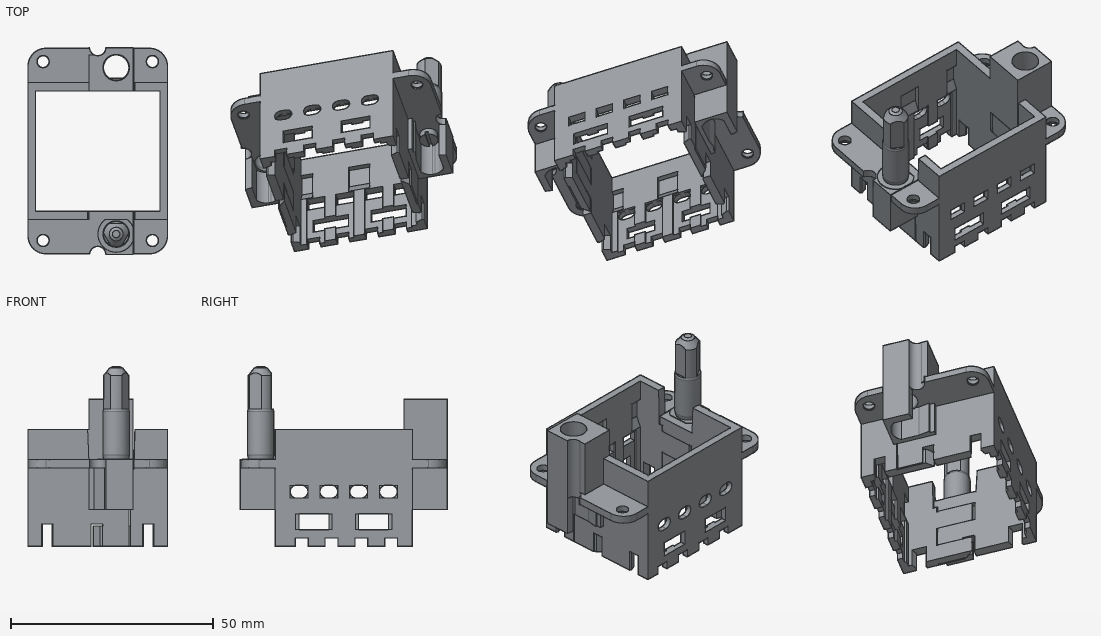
import cadquery as cq
import math

FRAME_X = 34.4
FRAME_Y = 33.75
FRAME_TOP = 28.85
SIDE_WALL = 1.9
END_WALL = 2.1
INNER_X = FRAME_X / 2 - SIDE_WALL
OUTER_Y = FRAME_Y / 2
INNER_Y = OUTER_Y - END_WALL

FLANGE_Y = 50.7
FLANGE_BOTTOM = 19.4
FLANGE_TOP = 21.4
FLANGE_CORNER_R = 4.5
MOUNT_HOLE_R = 1.55
MOUNT_HOLE_LIP_R = 1.45
MOUNT_HOLE_LIP = 0.5
MOUNT_HOLE_X = 13.45
MOUNT_HOLE_Y = 22.05

BLOCK_END_Y = 25.5
BLOCK_BOTTOM = 9.1
BLOCK_LEFT = -2.2
BLOCK_RIGHT = 8.7
POST_TOP = 36.3
POST_SHOULDER_Y = 23.6
BORE_X = 4.55
BORE_Y = 20.55
BORE_R = 3.25
BORE_END_R = 3.1
BORE_TAPER = 0.95
NOTCH_R = 2.0

CAVITY_R = 3.45
CAVITY_BACK_Y = 17.95
CAVITY_FRONT_Y = 23.75
CAVITY_Y = (CAVITY_BACK_Y + CAVITY_FRONT_Y) / 2
CAVITY_SIDE_FLAT = 0.55
CAVITY_RIGHT = BORE_X + math.sqrt(CAVITY_R**2 - (CAVITY_SIDE_FLAT / 2) ** 2)

LOWER_SEAM_LEFT = 7.75
LOWER_SEAM_RIGHT = 8.0
SEAM_STEP_Z = 19.05
UPPER_SEAM_RIGHT = 8.9
UPPER_SEAM_RIGHT_TOP = 9.15
OPENING_LEFT_TOP = -2.5

UPPER_TONGUE_DEPTH = 1.0
LOWER_TONGUE_DEPTH = 1.75
TONGUE_LEFT = -1.1
TONGUE_CLEARANCE = 0.8
UPPER_TONGUE_Z = (11.2, 17.4)
LOWER_TONGUE_Z = (0.0, 5.1)

SLOT_LENGTH = 4.35
SLOT_HEIGHT = 3.1
SLOT_Z = 13.5
SLOT_PITCH = 7.35
WINDOW_WIDTH = 7.35
RIGHT_WINDOW_WIDTH = 9.0
WINDOW_Z = (4.2, 8.05)
WINDOW_Y = 7.35
FOOT_NOTCH_WIDTH = 3.1
FOOT_NOTCH_HEIGHT = 2.1
FOOT_NOTCH_SHIFT = 0.65

CHANNEL_WIDTH = 4.6
CHANNEL_DEPTH = 0.5
CHANNEL_TOP = SLOT_Z + SLOT_HEIGHT / 2
POCKET_DEPTH = 1.15
POCKET_WIDTH = 5.4
POCKET_PITCH = 14.5
POCKET_TOP = 23.45
POCKET_RAMP_TOP = 18.0
POCKET_BOTTOM = 15.4

END_NOTCH_WIDTH = 2.85
END_NOTCH_THROAT = 2.45
END_NOTCH_INNER_WIDTH = 3.7
END_NOTCH_BEVEL = 0.5
END_NOTCH_HEIGHT = 5.5
END_NOTCH_CENTRE = -0.2
END_NOTCH_SIDE_X = 12.45

PIN_X = BORE_X
PIN_Y = -20.45
PAD_R = 4.5
PAD_TOP = 21.55
PIN_R = 3.25
NECK_R = 3.1
NECK_TOP = 22.55
SHOULDER_BOTTOM = 33.2
SHANK_BOTTOM = 33.85
SHANK_R = 3.1
SHANK_TOP = 42.15
TIP_R = 1.7
TIP_BOTTOM = 43.9
TIP_END_R = 0.9
PIN_TOP = 44.3
PIN_FLAT = 2.6
SCREW_R = 2.25
SCREW_BOTTOM = 17.5
SCREW_SLOT_WIDTH = 0.8
SCREW_SLOT_DEPTH = 0.85


def box(x_range, y_range, z_range):
    """Axis-aligned block given by its limits."""
    (x0, x1), (y0, y1), (z0, z1) = x_range, y_range, z_range
    return cq.Workplane("XY").box(x1 - x0, y1 - y0, z1 - z0, centered=False).translate((x0, y0, z0))


def cylinder(x, y, radius, z_range):
    """Upright cylinder."""
    z0, z1 = z_range
    return cq.Workplane("XY", origin=(x, y, z0)).circle(radius).extrude(z1 - z0)


def end_profile(points):
    """Outline in X and Z, run through the full depth of the part."""
    return cq.Workplane("XZ").polyline(points).close().extrude(BLOCK_END_Y, both=True)


def mirrored_in_y(shape):
    """Shape together with its mirror image across the XZ plane."""
    return shape.union(shape.mirror("XZ"))


def side_wall_openings():
    """Slots, windows and foot notches of the side walls."""
    left_x = (-FRAME_X / 2, -INNER_X)
    right_x = (INNER_X, FRAME_X / 2)
    tools = cq.Workplane("XY")
    for i in range(4):
        y = (i - 1.5) * SLOT_PITCH
        slot = cq.Workplane("YZ", origin=(0, y, SLOT_Z)).slot2D(SLOT_LENGTH, SLOT_HEIGHT)
        tools = tools.union(slot.extrude(-FRAME_X / 2))
        slot_y = (y - SLOT_LENGTH / 2, y + SLOT_LENGTH / 2)
        tools = tools.union(box(right_x, slot_y, (SLOT_Z - SLOT_HEIGHT / 2, SLOT_Z + SLOT_HEIGHT / 2)))
        notch_y = (
            y + FOOT_NOTCH_SHIFT - FOOT_NOTCH_WIDTH / 2,
            y + FOOT_NOTCH_SHIFT + FOOT_NOTCH_WIDTH / 2,
        )
        tools = tools.union(box((-FRAME_X / 2, FRAME_X / 2), notch_y, (0, FOOT_NOTCH_HEIGHT)))
    for wall_x, width in ((left_x, WINDOW_WIDTH), (right_x, RIGHT_WINDOW_WIDTH)):
        for y in (-WINDOW_Y, WINDOW_Y):
            tools = tools.union(box(wall_x, (y - width / 2, y + width / 2), WINDOW_Z))
    return tools


def side_wall_relief():
    """Channels and ramped pockets on the inner faces of both side walls."""
    channel_x = INNER_X + CHANNEL_DEPTH
    tools = cq.Workplane("XY")
    for i in range(4):
        y = (i - 1.5) * SLOT_PITCH
        tools = tools.union(box(
            (-channel_x, channel_x), (y - CHANNEL_WIDTH / 2, y + CHANNEL_WIDTH / 2), (0, CHANNEL_TOP)
        ))
    pocket_x = INNER_X + POCKET_DEPTH
    pocket_outline = [
        (-INNER_X, POCKET_BOTTOM),
        (INNER_X, POCKET_BOTTOM),
        (pocket_x, POCKET_RAMP_TOP),
        (pocket_x, POCKET_TOP),
        (-pocket_x, POCKET_TOP),
        (-pocket_x, POCKET_RAMP_TOP),
    ]
    pocket = cq.Workplane("XZ").polyline(pocket_outline).close().extrude(POCKET_WIDTH / 2, both=True)
    for y in (-POCKET_PITCH, 0, POCKET_PITCH):
        tools = tools.union(pocket.translate((0, y, 0)))
    return tools.intersect(box((-FRAME_X, FRAME_X), (-INNER_Y, INNER_Y), (0, FRAME_TOP)))


def end_wall_notches():
    """Notches in the bottom edge of both end walls; the outer ones have a narrow throat."""
    throat_y = OUTER_Y - END_NOTCH_BEVEL
    half_outline = [
        (END_NOTCH_INNER_WIDTH / 2, INNER_Y),
        (END_NOTCH_THROAT / 2, throat_y),
        (END_NOTCH_WIDTH / 2, OUTER_Y),
    ]
    outline = half_outline + [(-x, y) for x, y in reversed(half_outline)]
    side_notch = cq.Workplane("XY").polyline(outline).close().extrude(END_NOTCH_HEIGHT)
    tools = box(
        (END_NOTCH_CENTRE - END_NOTCH_WIDTH / 2, END_NOTCH_CENTRE + END_NOTCH_WIDTH / 2),
        (INNER_Y, OUTER_Y),
        (0, END_NOTCH_HEIGHT),
    )
    for x in (-END_NOTCH_SIDE_X, END_NOTCH_SIDE_X):
        tools = tools.union(side_notch.translate((x, 0, 0)))
    return mirrored_in_y(tools)


def frame_walls():
    """Four walls with all their openings."""
    walls = box((-FRAME_X / 2, FRAME_X / 2), (-OUTER_Y, OUTER_Y), (0, FRAME_TOP))
    walls = walls.cut(box((-INNER_X, INNER_X), (-INNER_Y, INNER_Y), (0, FRAME_TOP)))
    return walls.cut(side_wall_openings()).cut(side_wall_relief()).cut(end_wall_notches())


def flange():
    """Rounded plate around the frame with four mounting holes."""
    plate = box((-FRAME_X / 2, FRAME_X / 2), (-FLANGE_Y / 2, FLANGE_Y / 2), (FLANGE_BOTTOM, FLANGE_TOP))
    plate = plate.edges("|Z").fillet(FLANGE_CORNER_R)
    plate = plate.cut(box((-INNER_X, INNER_X), (-INNER_Y, INNER_Y), (FLANGE_BOTTOM, FLANGE_TOP)))
    plate = plate.cut(side_wall_relief())
    for x in (-MOUNT_HOLE_X, MOUNT_HOLE_X):
        for y in (-MOUNT_HOLE_Y, MOUNT_HOLE_Y):
            plate = plate.cut(cylinder(x, y, MOUNT_HOLE_LIP_R, (FLANGE_BOTTOM, FLANGE_TOP)))
            plate = plate.cut(cylinder(x, y, MOUNT_HOLE_R, (FLANGE_BOTTOM + MOUNT_HOLE_LIP, FLANGE_TOP)))
    return plate


def left_region():
    """Everything on the left of the seam."""
    return end_profile([
        (-FRAME_X, 0),
        (LOWER_SEAM_LEFT, 0),
        (LOWER_SEAM_LEFT, SEAM_STEP_Z),
        (BLOCK_RIGHT, SEAM_STEP_Z),
        (BLOCK_RIGHT, FLANGE_TOP),
        (BLOCK_LEFT, FLANGE_TOP),
        (OPENING_LEFT_TOP, FRAME_TOP),
        (-FRAME_X, FRAME_TOP),
    ])


def right_region():
    """Everything on the right of the seam."""
    return end_profile([
        (FRAME_X, 0),
        (LOWER_SEAM_RIGHT, 0),
        (LOWER_SEAM_RIGHT, SEAM_STEP_Z),
        (UPPER_SEAM_RIGHT, SEAM_STEP_Z),
        (UPPER_SEAM_RIGHT, FLANGE_TOP),
        (UPPER_SEAM_RIGHT_TOP, FRAME_TOP),
        (FRAME_X, FRAME_TOP),
    ])


def upper_tongue(left_end):
    """Strip along the inner face of the rear wall, reaching left across the seam."""
    return box((left_end, LOWER_SEAM_RIGHT), (INNER_Y, INNER_Y + UPPER_TONGUE_DEPTH), UPPER_TONGUE_Z)


def lower_tongue(left_end):
    """Deeper strip at the bottom edge of the rear wall, its left end cut at 45 degrees."""
    bottom, top = LOWER_TONGUE_Z
    outer_y = INNER_Y + LOWER_TONGUE_DEPTH
    outline = [
        (left_end, INNER_Y),
        (left_end + LOWER_TONGUE_DEPTH, outer_y),
        (LOWER_SEAM_RIGHT, outer_y),
        (LOWER_SEAM_RIGHT, INNER_Y),
    ]
    return cq.Workplane("XY", origin=(0, 0, bottom)).polyline(outline).close().extrude(top - bottom)


def tongues(left_end):
    """Tongues along both end walls."""
    return mirrored_in_y(upper_tongue(left_end).union(lower_tongue(left_end)))


def cavity():
    """Flattened round cavity of the rear block, open toward -X."""
    z_range = (BLOCK_BOTTOM, FLANGE_BOTTOM)
    y_range = (CAVITY_BACK_Y, CAVITY_FRONT_Y)
    round_part = cylinder(BORE_X, CAVITY_Y, CAVITY_R, z_range)
    return round_part.intersect(box((0, CAVITY_RIGHT), y_range, z_range))


def block():
    """C-shaped block under the rear end of the flange."""
    rib_right = -0.95
    rib_y = 18.4
    lip_x = 1.65
    slope_end_x = 1.9
    outline = [
        (BLOCK_LEFT, OUTER_Y),
        (BLOCK_LEFT, CAVITY_BACK_Y),
        (rib_right, CAVITY_BACK_Y),
        (rib_right, rib_y),
        (slope_end_x, CAVITY_BACK_Y),
        (BORE_X, CAVITY_BACK_Y),
        (BORE_X, CAVITY_FRONT_Y),
        (lip_x, CAVITY_FRONT_Y),
        (NOTCH_R, BLOCK_END_Y),
        (BLOCK_RIGHT, BLOCK_END_Y),
        (BLOCK_RIGHT, OUTER_Y),
    ]
    body = cq.Workplane("XY", origin=(0, 0, BLOCK_BOTTOM)).polyline(outline).close()
    return body.extrude(FLANGE_BOTTOM - BLOCK_BOTTOM).cut(cavity())


def flange_end_extension():
    """Right part of the flange end, flush with the block below it."""
    return box((NOTCH_R, BLOCK_RIGHT), (OUTER_Y, BLOCK_END_Y), (FLANGE_BOTTOM, FLANGE_TOP))


def post():
    """Tall post standing on the rear end of the flange."""
    body = box((BLOCK_LEFT, BLOCK_RIGHT), (INNER_Y, BLOCK_END_Y), (FLANGE_BOTTOM, POST_TOP))
    body = body.cut(box((BLOCK_LEFT, 0), (POST_SHOULDER_Y, BLOCK_END_Y), (FLANGE_TOP, POST_TOP)))
    return body.union(box((OPENING_LEFT_TOP, BLOCK_LEFT), (INNER_Y, OUTER_Y), (FLANGE_TOP, FRAME_TOP)))


def post_bore():
    """Socket for a pin, tapering at its lower end."""
    taper_top = FLANGE_BOTTOM + BORE_TAPER
    profile = [
        (0, FLANGE_BOTTOM),
        (BORE_END_R, FLANGE_BOTTOM),
        (BORE_R, taper_top),
        (BORE_R, POST_TOP),
        (0, POST_TOP),
    ]
    bore = cq.Workplane("XZ").polyline(profile).close().revolve(360, (0, 0), (0, 1))
    return bore.translate((BORE_X, BORE_Y, 0))


def pin_pad():
    """Low round pad around the pin, trimmed by the wall and by the seam."""
    pad = cylinder(PIN_X, PIN_Y, PAD_R, (FLANGE_TOP, PAD_TOP))
    return pad.intersect(box((0, BLOCK_RIGHT), (-BLOCK_END_Y, -OUTER_Y), (FLANGE_TOP, PAD_TOP)))


def make_left_half():
    """Large frame half that carries the post and the pin."""
    body = frame_walls().union(flange()).intersect(left_region())
    body = body.cut(tongues(TONGUE_LEFT - TONGUE_CLEARANCE))
    body = body.union(mirrored_in_y(block().union(flange_end_extension())))
    body = body.union(post()).union(pin_pad())
    for y in (-BLOCK_END_Y, BLOCK_END_Y):
        body = body.cut(cylinder(0, y, NOTCH_R, (FLANGE_BOTTOM, POST_TOP)))
    body = body.cut(post_bore())
    return body.cut(cylinder(PIN_X, PIN_Y, SCREW_R, (FLANGE_BOTTOM, PAD_TOP)))


def make_right_half():
    """Smaller frame half with the tongues that reach into the left half."""
    body = frame_walls().union(flange()).intersect(right_region())
    return body.union(tongues(TONGUE_LEFT))


def make_guide_pin():
    """Turned pin with three flats on its shank."""
    profile = [
        (0, PAD_TOP),
        (NECK_R, PAD_TOP),
        (PIN_R, NECK_TOP),
        (PIN_R, SHOULDER_BOTTOM),
        (SHANK_R, SHANK_BOTTOM),
        (SHANK_R, SHANK_TOP),
        (TIP_R, TIP_BOTTOM),
        (TIP_END_R, PIN_TOP),
        (0, PIN_TOP),
    ]
    pin = cq.Workplane("XZ").polyline(profile).close().revolve(360, (0, 0), (0, 1))
    flat_cut = box((PIN_FLAT, 2 * PIN_R), (-PIN_R, PIN_R), (SHANK_BOTTOM, PIN_TOP))
    for angle in (90, 210, 330):
        pin = pin.cut(flat_cut.rotate((0, 0, 0), (0, 0, 1), angle))
    return pin.translate((PIN_X, PIN_Y, 0))


def make_fixing_screw():
    """Slotted screw that holds the pin from below the flange."""
    screw = cylinder(PIN_X, PIN_Y, SCREW_R, (SCREW_BOTTOM, PAD_TOP))
    return screw.cut(box(
        (PIN_X - SCREW_R, PIN_X + SCREW_R),
        (PIN_Y - SCREW_SLOT_WIDTH / 2, PIN_Y + SCREW_SLOT_WIDTH / 2),
        (SCREW_BOTTOM, SCREW_BOTTOM + SCREW_SLOT_DEPTH),
    ))


left_half = make_left_half()
right_half = make_right_half()
guide_pin = make_guide_pin()
fixing_screw = make_fixing_screw()

result = cq.Compound.makeCompound([
    left_half.val(),
    right_half.val(),
    guide_pin.val(),
    fixing_screw.val(),
])